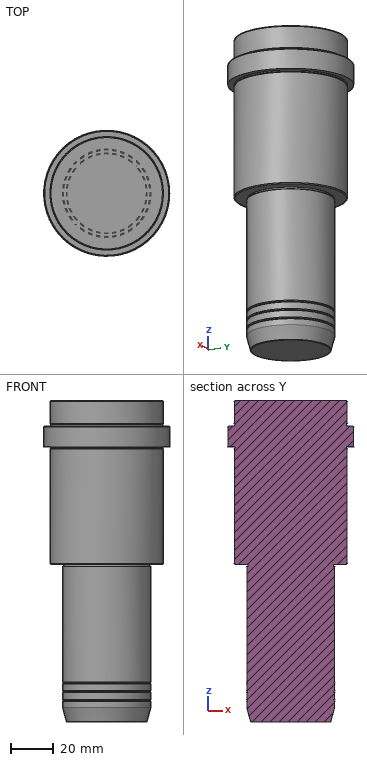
import cadquery as cq
import math

length = 153.0
head_height = 12.1
flange_height = 10.0
body_height = 56.0
taper_height = 7.0

flange_diameter = 60.0
body_diameter = 54.0
shank_diameter = 42.0
taper_angle = 15.0

edge_chamfer = 0.5
tip_chamfer = 0.3

head_groove_width = 1.15
body_groove_width = 1.01
flange_groove_depth = 0.5

relief_width = 0.9
relief_depth = 0.5

ring_count = 3
ring_pitch = 4.1
ring_width = 0.9
ring_depth = 0.38
lowest_ring_height = 10.4

flange_top = length - head_height
flange_bottom = flange_top - flange_height
body_bottom = flange_bottom - body_height


def cylinder(diameter, bottom, top):
    return cq.Workplane("XY").workplane(offset=bottom).circle(diameter / 2).extrude(top - bottom)


def ring_cut(solid, profile):
    """Remove a closed (radius, height) profile swept once around the Z axis."""
    return solid.cut(cq.Workplane("XZ").polyline(profile).close().revolve(360, (0, 0), (0, 1)))


def v_groove(solid, diameter, middle, width, depth):
    """Cut a V groove centred on height `middle`; its flanks continue past the wall."""
    radius = diameter / 2
    profile = [
        (radius - depth, middle),
        (radius + depth, middle + width),
        (radius + depth, middle - width),
    ]
    return ring_cut(solid, profile)


def square_groove(solid, diameter, bottom, width, depth):
    """Cut a square groove into a cylinder wall."""
    radius = diameter / 2
    profile = [
        (radius - depth, bottom),
        (radius + depth, bottom),
        (radius + depth, bottom + width),
        (radius - depth, bottom + width),
    ]
    return ring_cut(solid, profile)


def make_head():
    head = cylinder(body_diameter, flange_top, length).faces(">Z").chamfer(edge_chamfer)
    middle = flange_top + head_groove_width / 2
    return v_groove(head, body_diameter, middle, head_groove_width, flange_groove_depth)


def make_flange():
    return cylinder(flange_diameter, flange_bottom, flange_top).faces(">Z").chamfer(edge_chamfer)


def make_body():
    body = cylinder(body_diameter, body_bottom, flange_bottom).faces("<Z").chamfer(edge_chamfer)
    middle = flange_bottom - body_groove_width / 2
    return v_groove(body, body_diameter, middle, body_groove_width, flange_groove_depth)


def make_shank():
    taper_inset = taper_height * math.tan(math.radians(taper_angle))
    shank = cylinder(shank_diameter, 0, body_bottom)
    shank = shank.faces("<Z").chamfer(taper_height, taper_inset)
    shank = shank.faces("<Z").chamfer(tip_chamfer)
    shank = square_groove(shank, shank_diameter, body_bottom - relief_width, relief_width, relief_depth)
    for index in range(ring_count):
        middle = lowest_ring_height + index * ring_pitch
        shank = v_groove(shank, shank_diameter, middle, ring_width, ring_depth)
    return shank


result = make_head().union(make_flange()).union(make_body()).union(make_shank())